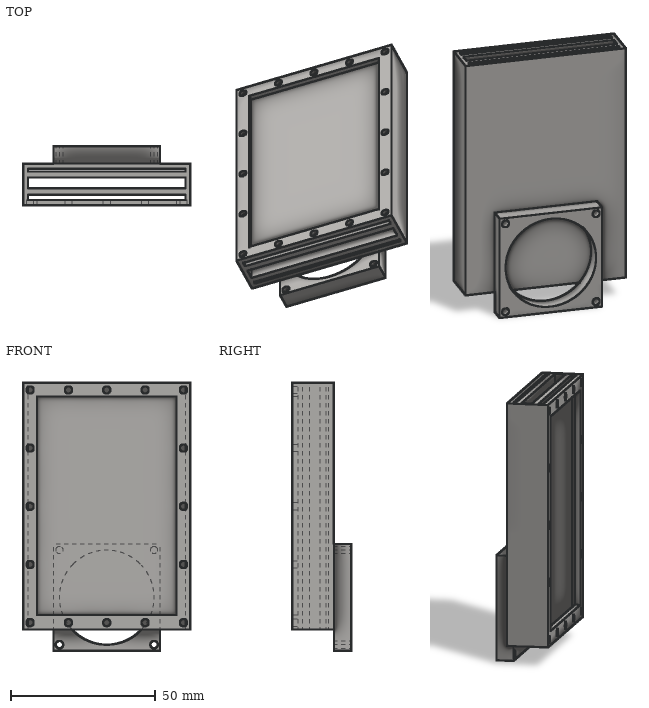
import cadquery as cq

width = 58.0
total_depth = 20.5
total_height = 92.9
body_depth = 14.5
plate_size = 37.1
plate_overhang = 7.3
body_height = total_height - plate_overhang
plate_depth = total_depth - body_depth

side_wall = 1.8
slot_width = width - 2 * side_wall
front_slot = (1.95, 3.6)
middle_slot = (5.9, 9.7)
rear_slot = (11.8, 12.6)

window_width = 48.5
window_height = 75.7
window_bottom = 5.0

hole_diameter = 2.5
columns = 5
rows = 5
column_pitch = 13.3
row_pitch = 20.2
bottom_row = 2.4

fan_bore = 32.8
mount_hole_pitch = 32.8


def box(size_x, y_range, z_bottom, size_z):
    """Box centred on X, spanning a Y range and rising from z_bottom."""
    y_front, y_back = y_range
    return (
        cq.Workplane("XY")
        .box(size_x, y_back - y_front, size_z, centered=(True, False, False))
        .translate((0, y_front, z_bottom))
    )


def cylinders(points, diameter, y_range):
    """Cylinders along Y at the given (x, z) points."""
    y_front, y_back = y_range
    return (
        cq.Workplane("XZ", origin=(0, y_front, 0))
        .pushPoints(points)
        .circle(diameter / 2)
        .extrude(y_front - y_back)
    )


def make_body():
    body = box(width, (0, body_depth), 0, body_height)
    for slot in (front_slot, middle_slot, rear_slot):
        body = body.cut(box(slot_width, slot, 0, body_height))

    front_wall = (0, front_slot[0])
    body = body.cut(box(window_width, front_wall, window_bottom, window_height))
    border_points = [
        ((i - (columns - 1) / 2) * column_pitch, bottom_row + j * row_pitch)
        for i in range(columns)
        for j in range(rows)
        if i in (0, columns - 1) or j in (0, rows - 1)
    ]
    return body.cut(cylinders(border_points, hole_diameter, front_wall))


def make_fan_plate():
    plate_range = (body_depth, body_depth + plate_depth)
    plate = box(plate_size, plate_range, -plate_overhang, plate_size)
    centre_z = plate_size / 2 - plate_overhang
    plate = plate.cut(cylinders([(0, centre_z)], fan_bore, plate_range))
    offset = mount_hole_pitch / 2
    corners = [(x, centre_z + z) for x in (-offset, offset) for z in (-offset, offset)]
    return plate.cut(cylinders(corners, hole_diameter, plate_range))


result = make_body().union(make_fan_plate())